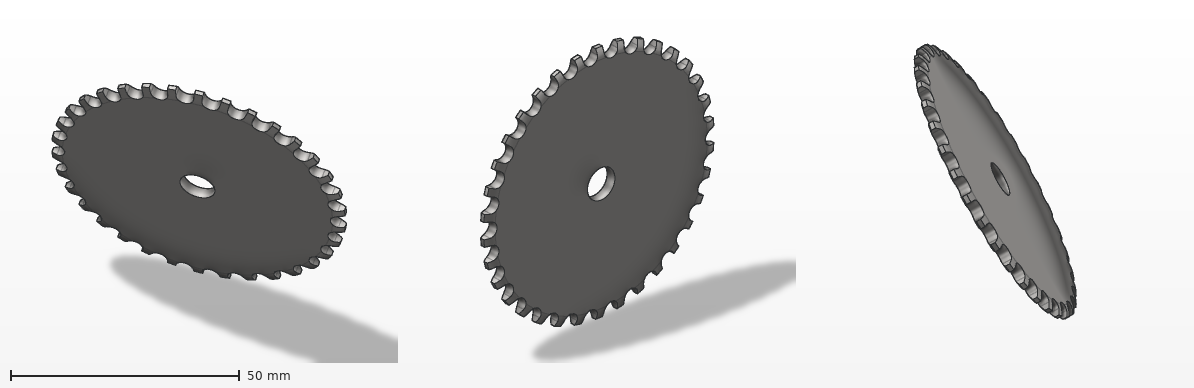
import cadquery as cq
import math

TOOTH_COUNT = 34
TIP_RADIUS = 33.7
CHAIN_PITCH = 6.0
SEAT_RADIUS = 2.0
FLANK_LEAN = 6.0

THICKNESS = 2.6
TIP_THICKNESS = 1.1
FACE_RADIUS = 31.0
BORE_DIAMETER = 8.0
CUT_MARGIN = 0.7

TOOTH_ANGLE = 360.0 / TOOTH_COUNT
PITCH_RADIUS = CHAIN_PITCH / (2 * math.sin(math.radians(TOOTH_ANGLE / 2)))


def make_blank():
    """Disc whose rim is rounded on both sides, each arc starting tangent to the flat face."""
    half = THICKNESS / 2
    half_tip = TIP_THICKNESS / 2
    rim_depth = TIP_RADIUS - FACE_RADIUS
    drop = half - half_tip
    rounding_radius = (rim_depth**2 + drop**2) / (2 * drop)
    mid_angle = math.asin(rim_depth / rounding_radius) / 2
    mid_r = FACE_RADIUS + rounding_radius * math.sin(mid_angle)
    mid_y = half - rounding_radius * (1 - math.cos(mid_angle))
    bore_radius = BORE_DIAMETER / 2
    return (
        cq.Workplane("XY")
        .moveTo(bore_radius, -half)
        .lineTo(FACE_RADIUS, -half)
        .threePointArc((mid_r, -mid_y), (TIP_RADIUS, -half_tip))
        .lineTo(TIP_RADIUS, half_tip)
        .threePointArc((mid_r, mid_y), (FACE_RADIUS, half))
        .lineTo(bore_radius, half)
        .close()
        .revolve(360, (0, 0, 0), (0, 1, 0))
    )


def make_gap_cutter():
    """Tooth gap centred on +Z: a roller seat with two straight flanks opening outward."""
    lean = math.radians(FLANK_LEAN)
    seat_x = SEAT_RADIUS * math.cos(lean)
    seat_z = PITCH_RADIUS - SEAT_RADIUS * math.sin(lean)
    top_z = TIP_RADIUS + CUT_MARGIN
    top_x = seat_x + (top_z - seat_z) * math.tan(lean)
    return (
        cq.Workplane("XZ")
        .moveTo(-top_x, top_z)
        .lineTo(-seat_x, seat_z)
        .threePointArc((0, PITCH_RADIUS - SEAT_RADIUS), (seat_x, seat_z))
        .lineTo(top_x, top_z)
        .close()
        .extrude(THICKNESS / 2 + CUT_MARGIN, both=True)
    )


gap_cutter = make_gap_cutter()
result = make_blank()
for index in range(TOOTH_COUNT):
    gap_angle = (index + 0.5) * TOOTH_ANGLE
    result = result.cut(gap_cutter.rotate((0, 0, 0), (0, 1, 0), gap_angle))